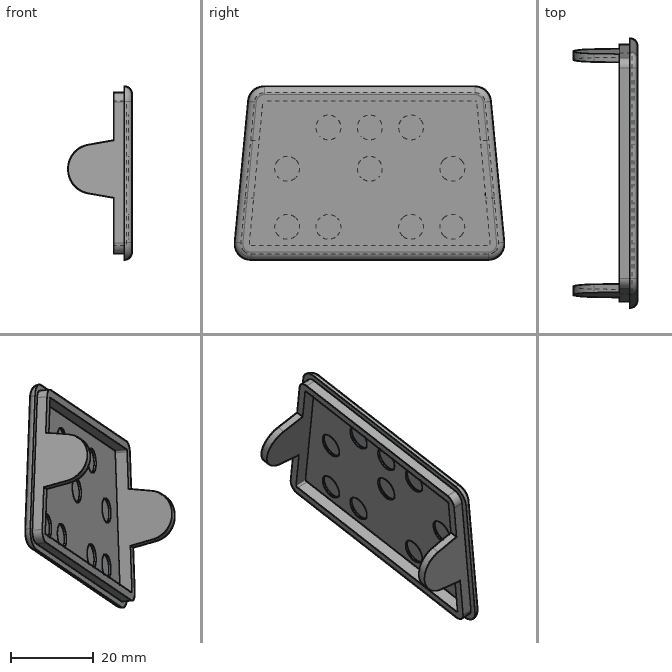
import cadquery as cq
import math

depth = 15.5
height = 42.0
bottom_width = 65.95
top_width = 58.0
corner_radius = 4.0
flange_thickness = 1.95
edge_land = 0.0005
edge_radius = flange_thickness - edge_land
rim_height = 2.55
rim_inset = 1.5
wall = 2.0
floor_recess = 0.5

tab_radius = 6.0
tab_taper = math.radians(10)
tab_center_z = 1.0

dimple_diameter = 6.0
dimple_depth = 0.5
dimple_pitch = 10.0
top_row_z = 11.1
middle_row_z = top_row_z - dimple_pitch
bottom_row_z = -12.9
dimple_rows = {
    top_row_z: (-1, 0, 1),
    middle_row_z: (-2, 0, 2),
    bottom_row_z: (-2, -1, 1, 2),
}

flange_x = depth - flange_thickness
rim_x = flange_x - rim_height
floor_x = flange_x + floor_recess


def rounded_trapezoid(inset, start_x, length):
    """Rounded trapezoid, moved inward by inset and extruded along +X."""
    half_height = height / 2
    corners = [
        (-bottom_width / 2, -half_height),
        (bottom_width / 2, -half_height),
        (top_width / 2, half_height),
        (-top_width / 2, half_height),
    ]
    sharp = cq.Workplane("YZ", origin=(start_x, 0, 0)).polyline(corners).close()
    if inset:
        sharp = sharp.offset2D(-inset)
    return sharp.extrude(length).edges("|X").fillet(corner_radius - inset)


def tab_profile():
    """Tab seen along Y: a round tip with straight sides that widen to the flange."""
    tangent_x = tab_radius * (1 - math.sin(tab_taper))
    tangent_half = tab_radius * math.cos(tab_taper)
    root_half = tangent_half + (rim_x - tangent_x) * math.tan(tab_taper)
    return (
        cq.Workplane("XZ", origin=(0, bottom_width / 2, 0))
        .moveTo(rim_x, tab_center_z + root_half)
        .lineTo(tangent_x, tab_center_z + tangent_half)
        .threePointArc((0, tab_center_z), (tangent_x, tab_center_z - tangent_half))
        .lineTo(rim_x, tab_center_z - root_half)
        .lineTo(flange_x, tab_center_z - root_half)
        .lineTo(flange_x, tab_center_z + root_half)
        .close()
        .extrude(bottom_width)
    )


flange = rounded_trapezoid(0, flange_x, flange_thickness).faces(">X").edges().fillet(edge_radius)

wall_ring = rounded_trapezoid(rim_inset, 0, flange_x).cut(
    rounded_trapezoid(rim_inset + wall, 0, flange_x)
)
rim_zone = cq.Workplane("YZ", origin=(rim_x, 0, 0)).rect(bottom_width, height).extrude(rim_height)
rim = wall_ring.intersect(rim_zone)
tabs = wall_ring.intersect(tab_profile())

floor_pocket = rounded_trapezoid(rim_inset + wall, flange_x, floor_recess)

dimple_centers = [
    (column * dimple_pitch, row_z) for row_z, columns in dimple_rows.items() for column in columns
]
dimples = (
    cq.Workplane("YZ", origin=(floor_x, 0, 0))
    .pushPoints(dimple_centers)
    .circle(dimple_diameter / 2)
    .extrude(dimple_depth)
)

result = flange.union(rim).union(tabs).cut(floor_pocket).cut(dimples)